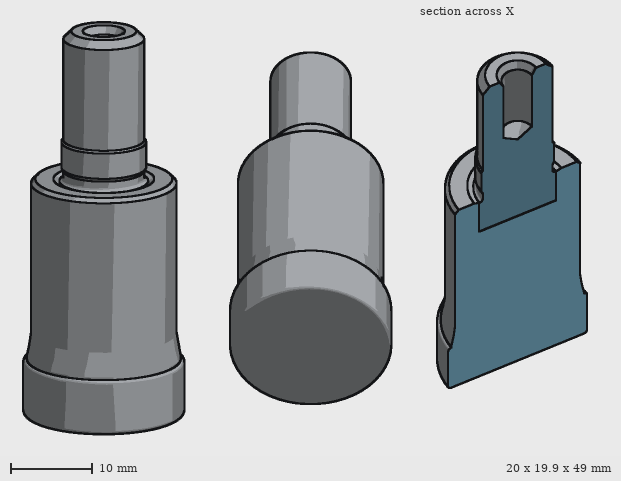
import cadquery as cq
import math

base_diameter = 19.95
base_radius = base_diameter / 2
base_rounding = 0.5
base_top = 6.95
neck_radius = 19.0 / 2
neck_top = 7.25
taper_top = 10.3
barrel_radius = 18.0 / 2
housing_top = 30.05
barrel_chamfer_width = 0.55
barrel_chamfer_height = 0.55

rod_radius = 10.0 / 2
rod_top = 49.0
rod_chamfer = 1.0
collar_radius = 10.5 / 2
root_fillet = 0.5
foot_radius = rod_radius + root_fillet
collar_bottom = 31.1
collar_top = 35.1
collar_top_chamfer_height = 0.3
collar_bottom_chamfer_height = 0.45

recess_mouth_radius = 6.2
recess_depth = 0.25
recess_floor = housing_top - recess_depth
socket_depth = 4.9
socket_floor = recess_floor - socket_depth

hole_radius = 4.0 / 2
hole_mouth_radius = 2.6
hole_mouth_angle = 60.0
hole_depth = 9.8
drill_point_angle = 118.0


def revolve_profile(points):
    """Turn a closed (radius, height) outline around the Z axis."""
    return cq.Workplane("XZ").polyline(points).close().revolve(360, (0, 0), (0, 1))


def make_housing():
    base = cq.Workplane("XY").circle(base_radius).extrude(base_top)
    base = base.faces("<Z or >Z").edges().fillet(base_rounding)
    barrel = revolve_profile([
        (0, 0),
        (barrel_radius, 0),
        (barrel_radius, base_top),
        (neck_radius, base_top),
        (neck_radius, neck_top),
        (barrel_radius, taper_top),
        (barrel_radius, housing_top - barrel_chamfer_height),
        (barrel_radius - barrel_chamfer_width, housing_top),
        (recess_mouth_radius, housing_top),
        (foot_radius, recess_floor),
        (0, recess_floor),
    ])
    socket = cq.Workplane("XY").workplane(offset=socket_floor).circle(foot_radius).extrude(socket_depth)
    return base.union(barrel).cut(socket)


def make_rod():
    mouth_depth = (hole_mouth_radius - hole_radius) / math.tan(math.radians(hole_mouth_angle / 2))
    hole_bottom = rod_top - hole_depth
    drill_point_height = hole_radius / math.tan(math.radians(drill_point_angle / 2))
    arc_inset = root_fillet * (1 - math.sqrt(0.5))
    half_outline = (
        cq.Workplane("XZ")
        .moveTo(0, socket_floor)
        .lineTo(foot_radius, socket_floor)
        .lineTo(foot_radius, recess_floor)
        .threePointArc(
            (rod_radius + arc_inset, recess_floor + arc_inset),
            (rod_radius, recess_floor + root_fillet),
        )
        .lineTo(rod_radius, collar_bottom)
        .lineTo(collar_radius, collar_bottom + collar_bottom_chamfer_height)
        .lineTo(collar_radius, collar_top - collar_top_chamfer_height)
        .lineTo(rod_radius, collar_top)
        .lineTo(rod_radius, rod_top - rod_chamfer)
        .lineTo(rod_radius - rod_chamfer, rod_top)
        .lineTo(hole_mouth_radius, rod_top)
        .lineTo(hole_radius, rod_top - mouth_depth)
        .lineTo(hole_radius, hole_bottom)
        .lineTo(0, hole_bottom - drill_point_height)
        .close()
    )
    return half_outline.revolve(360, (0, 0), (0, 1))


housing = make_housing()
rod = make_rod()

result = cq.Compound.makeCompound([housing.val(), rod.val()])